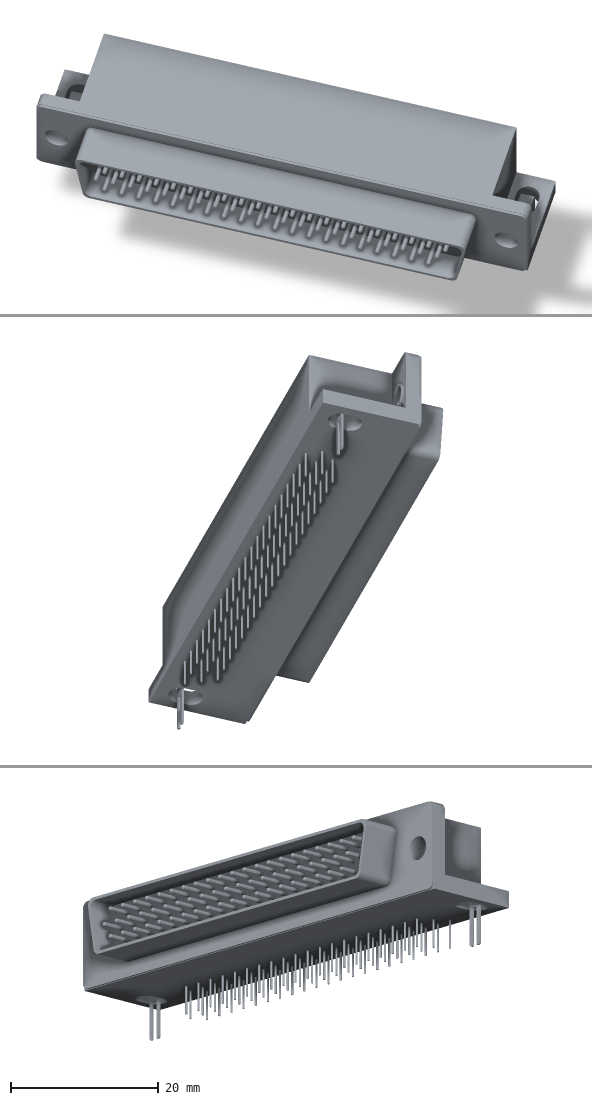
import cadquery as cq
import math


length = 69.4
height = 12.5
depth = 14.3
core_length = 58.3
ledge_height = 2.35
wall_rear = 2.3
plate_thickness = 0.35
plate_inset = 0.1
corner_radius = 0.9
mid_height = height / 2

shell_reach = 5.7
shell_height = 8.2
shell_top_width = 55.5
shell_slope = math.radians(10)
shell_radius = 1.0
shell_wall = 0.4
shell_floor_depth = 3.8

hole_spacing = 63.5
hole_diameter = 3.3
slot_width = 3.2
slot_front_center = 9.2
slot_rear_center = 10.8

row_span = 48.15
long_row_count = 21
short_row_count = 20
pitch = row_span / (long_row_count - 1)
row_rise = 1.95
contact_diameter = 0.6
contact_tip_diameter = 0.3
contact_length = 5.55
tail_diameter = 0.3
tail_length = 3.95
tail_middle_y = 10.75
tail_row_gap = 1.95

bracket_thickness = 0.3
bracket_width = 1.95
bracket_neck_thickness = 0.5
bracket_neck_top = 4.65
bracket_ring_diameter = 4.0
bracket_rear = 10.9
bracket_drop = 5.4
bracket_bend_radius = 0.2
prong_gap = 0.8
prong_chamfer = 0.2


def box(x_range, y_range, z_range):
    """Box spanning the given (low, high) ranges."""
    size = [high - low for low, high in (x_range, y_range, z_range)]
    corner = (x_range[0], y_range[0], z_range[0])
    return cq.Workplane("XY").box(*size, centered=False).translate(corner)


def rod_along_y(diameter, x, z, y_start, y_end):
    """Cylinder parallel to Y."""
    plane = cq.Workplane("XZ", origin=(x, y_end, z))
    return plane.circle(diameter / 2).extrude(y_end - y_start)


def make_housing():
    """Core block with a front wall, two side ledges and a rounded front plate."""
    ends = (-length / 2, length / 2)
    core = box((-core_length / 2, core_length / 2), (plate_thickness, depth), (0, height))
    ledge = box(ends, (plate_thickness, depth), (0, ledge_height))
    wall = box(ends, (plate_thickness, wall_rear), (0, height))
    wall = wall.edges("|Y and >Z").fillet(corner_radius)
    plate_ends = (-length / 2 + plate_inset, length / 2 - plate_inset)
    plate = box(plate_ends, (0, plate_thickness), (plate_inset, height - plate_inset))
    plate = plate.edges("|Y").fillet(corner_radius)
    return core.union(ledge).union(wall).union(plate)


def shell_prism(inset, prism_depth):
    """D-shaped prism reaching back from the shell mouth, inset evenly from the outside of the shell."""
    half_height = shell_height / 2 - inset
    side_at_middle = shell_top_width / 2 - shell_height / 2 * math.tan(shell_slope)
    side_at_middle -= inset / math.cos(shell_slope)
    half_top = side_at_middle + half_height * math.tan(shell_slope)
    half_bottom = side_at_middle - half_height * math.tan(shell_slope)
    corners = [
        (-half_top, half_height),
        (half_top, half_height),
        (half_bottom, -half_height),
        (-half_bottom, -half_height),
    ]
    mouth = cq.Workplane("XZ", origin=(0, -shell_reach, mid_height))
    prism = mouth.polyline(corners).close().extrude(-prism_depth)
    return prism.edges("|Y").fillet(shell_radius)


def make_contact(x, z):
    """Round contact with a tapered tip, reaching forward through the shell floor."""
    contact = rod_along_y(contact_diameter, x, z, -contact_length, 0)
    return contact.faces("<Y").chamfer((contact_diameter - contact_tip_diameter) / 2)


def make_tail(x, y):
    """Round board tail below the housing."""
    return cq.Workplane("XY", origin=(x, y, -tail_length)).circle(tail_diameter / 2).extrude(tail_length)


def make_pins():
    """Three staggered rows of contacts, each with its own row of board tails."""
    row_start = -row_span / 2
    stagger = pitch / 4
    rows = [
        (1, stagger, long_row_count),
        (0, -stagger, long_row_count),
        (-1, stagger, short_row_count),
    ]
    pins = []
    for level, shift, count in rows:
        for index in range(count):
            x = row_start + shift + index * pitch
            pins.append(make_contact(x, mid_height + level * row_rise))
            pins.append(make_tail(x, tail_middle_y + level * tail_row_gap))
    return pins


def make_bracket(x):
    """Strap bent down the wall, back along the ledge and down through the slot as two prongs."""
    sides = (x - bracket_width / 2, x + bracket_width / 2)
    strap_top = ledge_height + bracket_thickness
    ring = rod_along_y(bracket_ring_diameter, x, mid_height, wall_rear, wall_rear + bracket_thickness)
    neck = box(sides, (wall_rear, wall_rear + bracket_neck_thickness), (ledge_height, bracket_neck_top))
    strap = box(sides, (wall_rear, bracket_rear), (ledge_height, strap_top))
    leg = box(sides, (bracket_rear - bracket_thickness, bracket_rear), (-bracket_drop, strap_top))
    leg = leg.edges("|Y and <Z").chamfer(prong_chamfer)
    gap = box((x - prong_gap / 2, x + prong_gap / 2), (wall_rear, depth), (-bracket_drop, 0))
    bent = strap.union(leg).edges("|X and >Y and >Z").fillet(bracket_bend_radius)
    return bent.union(neck).union(ring).cut(gap)


def make_slot(x):
    """Round-ended slot through the ledge."""
    slot_length = slot_rear_center - slot_front_center + slot_width
    center = (x, (slot_front_center + slot_rear_center) / 2, 0)
    return cq.Workplane("XY", origin=center).slot2D(slot_length, slot_width, 90).extrude(ledge_height)


result = make_housing()
result = result.union(shell_prism(0, shell_reach).cut(shell_prism(shell_wall, shell_floor_depth)))
for hole_x in (-hole_spacing / 2, hole_spacing / 2):
    result = result.cut(make_slot(hole_x)).union(make_bracket(hole_x))
    hole_end = wall_rear + bracket_neck_thickness
    result = result.cut(rod_along_y(hole_diameter, hole_x, mid_height, 0, hole_end))
pins = [pin.val() for pin in make_pins()]
result = cq.Workplane("XY").newObject([result.val().fuse(*pins)])